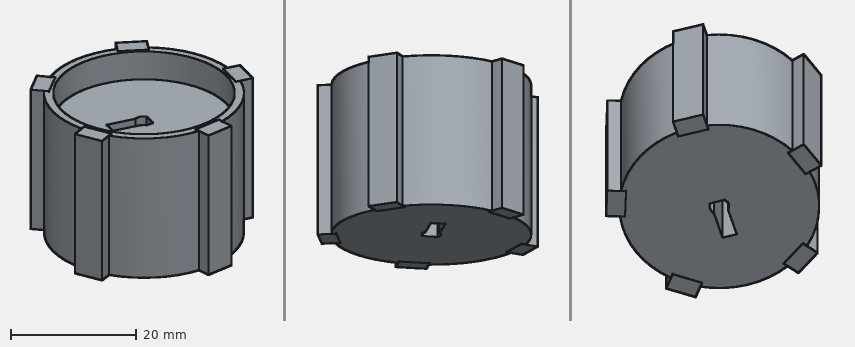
import cadquery as cq

height = 25.05
cup_diameter = 32.0
pocket_diameter = 29.0
pocket_depth = 5.0

rib_count = 5
rib_width = 5.0
rib_inner_distance = 15.0
rib_outer_distance = 18.0
first_rib_angle = 90.0

eye_diameter = 3.08
eye_flat_top = 1.0
slot_width = 2.35
slot_end = -6.0


def make_rib(angle):
    """Full-height rectangular bar, placed at the given angle about Z."""
    return (
        cq.Workplane("XY")
        .box(rib_outer_distance - rib_inner_distance, rib_width, height, centered=(False, True, False))
        .translate((rib_inner_distance, 0, 0))
        .rotate((0, 0, 0), (0, 0, 1), angle)
    )


def make_keyhole():
    """Cutter for the keyhole, as tall as the cup."""
    eye = cq.Workplane("XY").circle(eye_diameter / 2).extrude(height)
    above_flat = (
        cq.Workplane("XY")
        .box(eye_diameter, eye_diameter, height, centered=(True, False, False))
        .translate((0, eye_flat_top, 0))
    )
    slot = (
        cq.Workplane("XY")
        .box(slot_width, eye_flat_top - slot_end, height, centered=(True, False, False))
        .translate((0, slot_end, 0))
    )
    return eye.cut(above_flat).union(slot)


def make_cup(ribs):
    """Round cup with a shallow top pocket, a keyhole and a matching groove for each rib."""
    cup = cq.Workplane("XY").circle(cup_diameter / 2).extrude(height)
    pocket = (
        cq.Workplane("XY")
        .workplane(offset=height - pocket_depth)
        .circle(pocket_diameter / 2)
        .extrude(pocket_depth)
    )
    cup = cup.cut(pocket).cut(make_keyhole())
    for rib in ribs:
        cup = cup.cut(rib)
    return cup.solids()


ribs = [make_rib(first_rib_angle + index * 360.0 / rib_count) for index in range(rib_count)]
cup = make_cup(ribs)

result = cq.Compound.makeCompound([cup.val(), *[rib.val() for rib in ribs]])